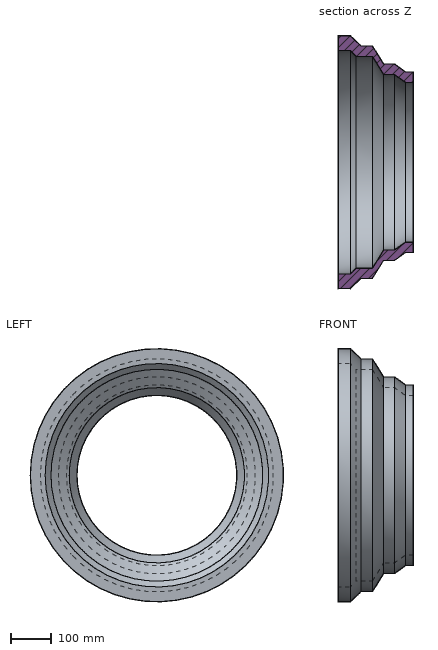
import cadquery as cq

length = 188.0
outer_stations = [0, 31.0, 57.5, 85.5, 113.5, 140.5, 168.0, length]
inner_stations = outer_stations.copy()
inner_stations[2] = 45.0

outer_radii = [315.0, 290.0, 245.0, 225.0]
inner_radii = [278.0, 263.5, 218.0, 198.5]


def stepped_profile(stations, radii):
    """Pair each step radius with the two stations where its cylinder starts and ends."""
    return [(x, radii[i // 2]) for i, x in enumerate(stations)]


outer_profile = stepped_profile(outer_stations, outer_radii)
inner_profile = stepped_profile(inner_stations, inner_radii)

wall_section = cq.Workplane("XY").polyline(outer_profile + inner_profile[::-1]).close()
result = wall_section.revolve(360, (0, 0, 0), (1, 0, 0))